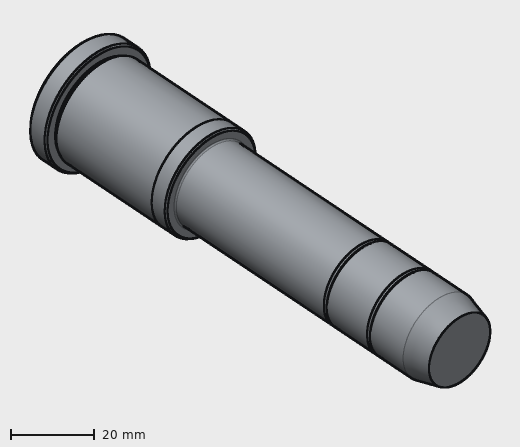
import cadquery as cq
import math

total_length = 131.0
head_length = 6.0
lead_in_start = 40.0
body_end = 45.0

head_diameter = 35.0
lead_in_diameter = 30.0
body_fit_allowance = 0.02
shank_diameter = 24.0

head_chamfer = 0.5
body_chamfer = 0.5
relief_width = 1.0
relief_depth = 0.5
root_fillet = 0.4

first_groove_start = 96.5
groove_spacing = 15.0
groove_count = 2
groove_width = 1.0
groove_depth = 0.55

taper_length = 7.0
taper_angle = 15.0

head_radius = head_diameter / 2
lead_in_radius = lead_in_diameter / 2
body_radius = (lead_in_diameter + body_fit_allowance) / 2
shank_radius = shank_diameter / 2
tip_radius = shank_radius - taper_length * math.tan(math.radians(taper_angle))


def revolve_about_axis(profile):
    """Turn a closed half profile in the XZ plane fully around the X axis."""
    return profile.revolve(360, (0, 0, 0), (1, 0, 0))


def make_pin():
    """Head, body, shank and tapered tip, revolved from one half profile."""
    relief_radius = lead_in_radius - relief_depth
    relief_end = head_length + relief_width
    fillet_mid = root_fillet * (1 - math.sqrt(0.5))
    profile = (
        cq.Workplane("XZ")
        .moveTo(0, 0)
        .lineTo(0, head_radius - head_chamfer)
        .lineTo(head_chamfer, head_radius)
        .lineTo(head_length - head_chamfer, head_radius)
        .lineTo(head_length, head_radius - head_chamfer)
        .lineTo(head_length, relief_radius)
        .lineTo(relief_end, relief_radius)
        .lineTo(relief_end, body_radius)
        .lineTo(lead_in_start, body_radius)
        .lineTo(lead_in_start, lead_in_radius)
        .lineTo(body_end - body_chamfer, lead_in_radius)
        .lineTo(body_end, lead_in_radius - body_chamfer)
        .lineTo(body_end, shank_radius + root_fillet)
        .threePointArc(
            (body_end + fillet_mid, shank_radius + fillet_mid),
            (body_end + root_fillet, shank_radius),
        )
        .lineTo(total_length - taper_length, shank_radius)
        .lineTo(total_length, tip_radius)
        .lineTo(total_length, 0)
        .close()
    )
    return revolve_about_axis(profile)


def make_groove_cutter(start):
    """Ring with an arc-shaped floor, reaching from the shank surface inwards."""
    profile = (
        cq.Workplane("XZ")
        .moveTo(start, shank_radius)
        .threePointArc(
            (start + groove_width / 2, shank_radius - groove_depth),
            (start + groove_width, shank_radius),
        )
        .close()
    )
    return revolve_about_axis(profile)


result = make_pin()
for groove_index in range(groove_count):
    groove_start = first_groove_start + groove_index * groove_spacing
    result = result.cut(make_groove_cutter(groove_start))